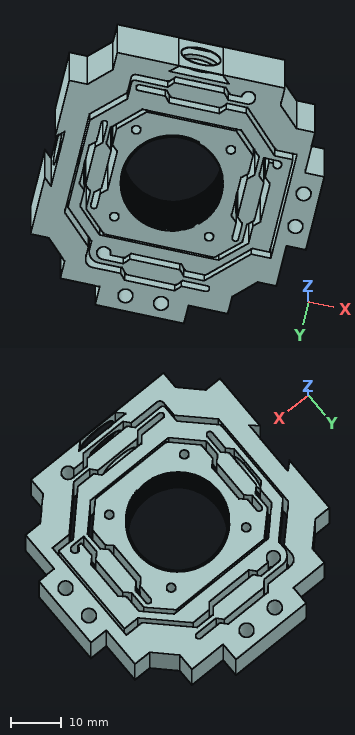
import cadquery as cq
import math

height = 14.0
frame_half = 25.0
frame_left = -24.9
notch_inner = 17.0
notch_outer = 21.2

top_tab_half, top_tab_end = 9.0, 29.0
side_tab_half, side_tab_end = 8.1, 28.95
tab_hole_diameter = 2.9
tab_hole_offset = 3.6
tab_hole_position = 25.75

dovetail_depth = 1.6
dovetail_mouth_half = 4.5
dovetail_floor_half = 6.05
cover_thickness = 0.1
adjuster_diameter = 8.0
adjuster_depth = 8.0

thread_minor = 19.9
thread_major = 20.6
thread_pitch = 0.7
thread_root_flat = 0.15
thread_flank = 0.19

screw_hole_diameter = 1.8
screw_hole_offset = 9.6

gap = 1.25
link = 3.25
wide_link = 3.4
y_link_center = 0.55
y_link_long, y_link_short = 6.15, 5.1
x_link_long, x_link_short = 5.4, 4.2
top_link = 17.84
bottom_link = -18.0
left_link = -13.45
right_link = 14.15
hook_diameter = 2.7
small_hook_diameter = 1.7
guide_slit_left = -19.4
guide_slit_width = 0.4


def prism(points):
    return cq.Workplane("XY").polyline(points).close().extrude(height)


def post(x, y, diameter):
    return cq.Workplane("XY").center(x, y).circle(diameter / 2).extrude(height)


def y_link_wall(level, bulge):
    """Slot wall beside a top or bottom link, from left to right."""
    x = y_link_center
    return [
        (x - y_link_long, level),
        (x - y_link_short, level + bulge),
        (x + y_link_short, level + bulge),
        (x + y_link_long, level),
    ]


def x_link_wall(level, bulge):
    """Slot wall beside a left or right link, from bottom to top."""
    return [
        (level, -x_link_long),
        (level + bulge, -x_link_short),
        (level + bulge, x_link_short),
        (level, x_link_long),
    ]


def round_corner(slot, x, y, radius):
    corner = cq.selectors.NearestToPointSelector((x, y, height / 2))
    return slot.edges("|Z").edges(corner).fillet(radius)


def frame_body():
    a, b, h = notch_inner, notch_outer, frame_half
    body = prism([
        (frame_left, -a), (-b, -a), (-a, -b), (-a, -h),
        (a, -h), (a, -b), (b, -a), (h, -a),
        (h, a), (b, a), (a, b), (a, h),
        (-a, h), (-a, b), (-b, a), (frame_left, a),
    ])
    top_tab = cq.Workplane("XY").rect(2 * top_tab_half, top_tab_end, centered=(True, False)).extrude(height)
    side_tab = cq.Workplane("XY").rect(side_tab_end, 2 * side_tab_half, centered=(False, True)).extrude(height)
    body = body.union(top_tab).union(side_tab)
    for offset in (-tab_hole_offset, tab_hole_offset):
        body = body.cut(post(offset, tab_hole_position, tab_hole_diameter))
        body = body.cut(post(tab_hole_position, offset, tab_hole_diameter))
    return body


def outer_slot_left():
    """From the blind end at upper right, around the left side, to the hook at lower right."""
    top, bottom = top_link + wide_link, bottom_link - link
    blind_x, hook_x = 11.6, 10.45
    wall_x, stage_x = -13.1, -12.8
    slit_x = guide_slit_left + guide_slit_width
    frame_wall = (
        [(blind_x, top)]
        + y_link_wall(top, gap)[::-1]
        + [(wall_x, top), (wall_x, 17.1), (guide_slit_left, 10.9)]
        + [(guide_slit_left, -10.85), (wall_x, -17.0), (wall_x, bottom)]
        + y_link_wall(bottom, -gap)
        + [(hook_x, bottom)]
    )
    stage_wall = (
        [(hook_x, bottom + gap)]
        + y_link_wall(bottom + gap, -gap)[::-1]
        + [(stage_x, bottom + gap), (stage_x, -15.7), (slit_x, -9.6)]
        + [(slit_x, 9.65), (stage_x, 15.8), (stage_x, top - gap)]
        + y_link_wall(top - gap, gap)
        + [(blind_x, top - gap)]
    )
    slot = prism(frame_wall + stage_wall)
    slot = round_corner(slot, wall_x, top, 1.8)
    slot = round_corner(slot, stage_x, top - gap, 2.45)
    slot = round_corner(slot, wall_x, bottom, 0.85)
    slot = round_corner(slot, stage_x, bottom + gap, 0.6)
    slot = slot.union(post(blind_x, top - gap / 2, gap))
    return slot.union(post(hook_x, bottom + gap - hook_diameter / 2, hook_diameter))


def outer_slot_right():
    """From the hook at upper left, around the right side, to the blind end at lower left."""
    top, bottom = top_link, bottom_link
    hook_x, blind_x = -9.9, -11.05
    bend_x = 10.8
    frame_x, stage_x = 22.55, 22.0
    frame_wall = (
        [(hook_x, top + gap)]
        + y_link_wall(top + gap, -gap)
        + [(bend_x, top + gap), (18.55, 11.4), (frame_x, 11.4)]
        + [(frame_x, -11.55), (18.3, -11.55), (bend_x, bottom - gap)]
        + y_link_wall(bottom - gap, gap)[::-1]
        + [(blind_x, bottom - gap)]
    )
    stage_wall = (
        [(blind_x, bottom)]
        + y_link_wall(bottom, gap)
        + [(bend_x, bottom), (18.3, -10.3), (stage_x, -10.3)]
        + [(stage_x, 10.15), (18.55, 10.15), (bend_x, top)]
        + y_link_wall(top, -gap)[::-1]
        + [(hook_x, top)]
    )
    slot = prism(frame_wall + stage_wall)
    slot = slot.union(post(blind_x, bottom - gap / 2, gap))
    return slot.union(post(hook_x, top + gap - hook_diameter / 2, hook_diameter))


def inner_slot_top():
    """From the blind end at lower left, over the top, to the small hook at lower right."""
    left, right = left_link - link, right_link + wide_link
    blind_y = -9.5
    hook_x, hook_floor, hook_roof = 19.25, -9.4, -8.7
    outer_y, inner_y = 14.1, 13.7
    outer_wall = (
        [(left, blind_y)]
        + x_link_wall(left, -gap)
        + [(left, 8.95), (-11.55, outer_y), (12.6, outer_y), (right, 9.25)]
        + x_link_wall(right, gap)[::-1]
        + [(right, hook_roof), (hook_x, hook_roof)]
    )
    inner_wall = (
        [(hook_x, hook_floor), (right - gap, hook_floor)]
        + x_link_wall(right - gap, gap)
        + [(right - gap, 9.25), (11.65, inner_y), (-10.8, inner_y), (left + gap, 9.2)]
        + x_link_wall(left + gap, -gap)[::-1]
        + [(left + gap, blind_y)]
    )
    slot = prism(outer_wall + inner_wall)
    slot = slot.union(post(left + gap / 2, blind_y, gap))
    return slot.union(post(hook_x, hook_floor + small_hook_diameter / 2, small_hook_diameter))


def inner_slot_bottom():
    """From the blind end at upper left, under the bottom, to the blind end at upper right."""
    left, right = left_link, right_link
    left_blind_y, right_blind_y = 8.2, 8.75
    outer_y, inner_y = -14.2, -13.8
    outer_wall = (
        [(left - gap, left_blind_y)]
        + x_link_wall(left - gap, gap)[::-1]
        + [(left - gap, -8.9), (-9.4, outer_y), (10.65, outer_y), (right + gap, -9.4)]
        + x_link_wall(right + gap, -gap)
        + [(right + gap, right_blind_y)]
    )
    inner_wall = (
        [(right, right_blind_y)]
        + x_link_wall(right, -gap)[::-1]
        + [(right, -9.4), (9.7, inner_y), (-8.5, inner_y), (left, -8.9)]
        + x_link_wall(left, gap)
        + [(left, left_blind_y)]
    )
    slot = prism(outer_wall + inner_wall)
    slot = slot.union(post(left - gap / 2, left_blind_y, gap))
    return slot.union(post(right + gap / 2, right_blind_y, gap))


def left_dovetail():
    floor_x = frame_left + dovetail_depth
    return prism([
        (frame_left, -dovetail_mouth_half), (floor_x, -dovetail_floor_half),
        (floor_x, dovetail_floor_half), (frame_left, dovetail_mouth_half),
    ])


def front_dovetail():
    mouth_y = -frame_half + cover_thickness
    floor_y = -frame_half + dovetail_depth
    return prism([
        (-dovetail_mouth_half, mouth_y), (-dovetail_floor_half, floor_y),
        (dovetail_floor_half, floor_y), (dovetail_mouth_half, mouth_y),
    ])


def adjuster_holes():
    radius, middle = adjuster_diameter / 2, height / 2
    along_x = cq.Solid.makeCylinder(radius, adjuster_depth, cq.Vector(frame_left, 0, middle), cq.Vector(1, 0, 0))
    along_y = cq.Solid.makeCylinder(radius, adjuster_depth, cq.Vector(0, -frame_half, middle), cq.Vector(0, 1, 0))
    return cq.Workplane(along_x).add(along_y).combine()


def bore_point(radius, turn):
    angle = 2 * math.pi * turn
    return (radius * math.cos(angle), radius * math.sin(angle))


def threaded_plug():
    """The threaded bore as a solid: one cross-section twisted along a right-hand helix.

    It is made as two halves of the height, sewn together along their shared section.
    """
    crest, root = thread_minor / 2, thread_major / 2
    middle = (crest + root) / 2
    root_end = thread_root_flat / 2 / thread_pitch
    crest_start = root_end + thread_flank / thread_pitch
    flank_middle = (root_end + crest_start) / 2
    half_height = height / 2
    half_twist = 360 * half_height / thread_pitch
    half = (
        cq.Workplane("XY")
        .moveTo(*bore_point(root, -root_end))
        .threePointArc(bore_point(root, 0), bore_point(root, root_end))
        .threePointArc(bore_point(middle, flank_middle), bore_point(crest, crest_start))
        .threePointArc(bore_point(crest, 0.5), bore_point(crest, -crest_start))
        .threePointArc(bore_point(middle, -flank_middle), bore_point(root, -root_end))
        .close()
        .twistExtrude(half_height, half_twist)
    )
    upper_turn = 90 - half_twist
    lower = half.rotate((0, 0, 0), (0, 0, 1), upper_turn - half_twist)
    upper = half.rotate((0, 0, 0), (0, 0, 1), upper_turn).translate((0, 0, half_height))
    skin = lower.faces("not >Z").vals() + upper.faces("not <Z").vals()
    return cq.Workplane(cq.Solid.makeSolid(cq.Shell.makeShell(skin)))


result = frame_body()
for slot in (outer_slot_left(), outer_slot_right(), inner_slot_top(), inner_slot_bottom()):
    result = result.cut(slot)
result = result.cut(left_dovetail()).cut(front_dovetail()).cut(adjuster_holes())
for x in (-screw_hole_offset, screw_hole_offset):
    for y in (-screw_hole_offset, screw_hole_offset):
        result = result.cut(post(x, y, screw_hole_diameter))
result = result.cut(threaded_plug(), clean=False)